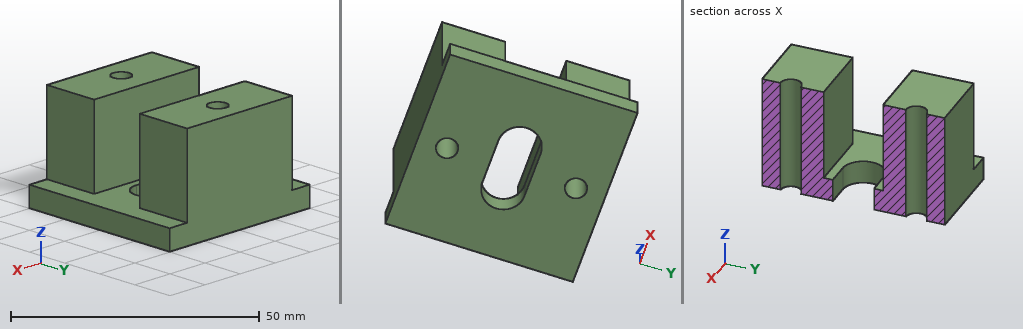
import cadquery as cq

plate_size = 40.0
plate_thickness = 5.0

total_height = 25.0
block_length = 30.0
gap_width = 13.0
block_width = (plate_size - gap_width) / 2
block_height = total_height - plate_thickness
block_offset = (gap_width + block_width) / 2

hole_diameter = 4.5
hole_spacing = 27.5

slot_length = 19.0
slot_width = 9.0


def make_plate():
    return cq.Workplane("XY").box(
        plate_size, plate_size, plate_thickness, centered=(True, True, False)
    )


def add_blocks(body):
    blocks = (
        cq.Workplane("XY")
        .workplane(offset=plate_thickness)
        .pushPoints([(0, -block_offset), (0, block_offset)])
        .rect(block_length, block_width)
        .extrude(block_height)
    )
    return body.union(blocks)


def cut_block_holes(body):
    holes = (
        cq.Workplane("XY")
        .pushPoints([(0, -hole_spacing / 2), (0, hole_spacing / 2)])
        .circle(hole_diameter / 2)
        .extrude(total_height)
    )
    return body.cut(holes)


def cut_slot(body):
    slot = cq.Workplane("XY").slot2D(slot_length, slot_width).extrude(plate_thickness)
    return body.cut(slot)


result = cut_slot(cut_block_holes(add_blocks(make_plate())))